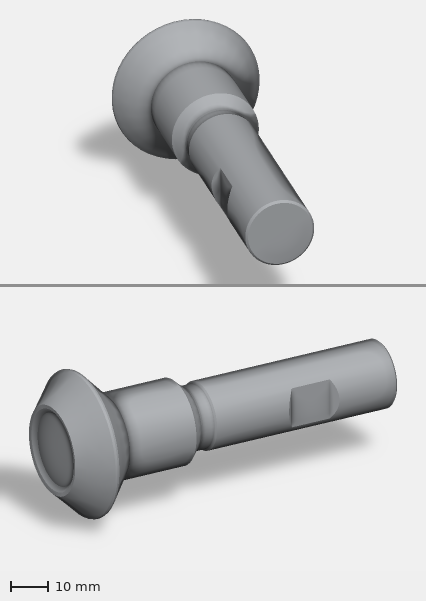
import cadquery as cq

total_length = 101.8

rim_radius = 20.8
rim_drop = 0.2
rim_center = 8.7
rim_half_width = 0.6
front_face_radius = 12.7
head_length = 2 * rim_center

bore_radius = 11.6
mouth_depth = 0.2

recess_floor_radius = 10.3
recess_depth = 1.1

collar_radius = 12.2
collar_end = 38.4
collar_edge_size = 0.5
neck_radius = 9.1
neck_start = 41.8
neck_end = 45.1
taper_end_radius = 9.3
taper_end = 41.1
stem_radius = 9.7
stem_chamfer = 0.6

flat_start = 70.0
flat_end = 81.7
flat_distance = 7.7


def make_head():
    """Revolve the double-cone ring that sits around the shank."""
    flank_start = rim_center - rim_half_width
    flank_end = rim_center + rim_half_width
    flank_radius = rim_radius - rim_drop
    profile = (
        cq.Workplane("XY")
        .moveTo(mouth_depth, bore_radius)
        .lineTo(0, front_face_radius)
        .lineTo(flank_start, flank_radius)
        .lineTo(rim_center, rim_radius)
        .lineTo(flank_end, flank_radius)
        .lineTo(head_length, collar_radius)
        .lineTo(head_length, bore_radius)
        .close()
    )
    return profile.revolve(360, (0, 0, 0), (1, 0, 0))


def make_clamping_flat():
    """Trapezoidal cutter that leaves a flat with sloping ends."""
    ramp = stem_radius - flat_distance
    return (
        cq.Workplane("XY")
        .polyline([
            (flat_start, -flat_distance),
            (flat_end, -flat_distance),
            (flat_end + ramp, -stem_radius),
            (flat_start - ramp, -stem_radius),
        ])
        .close()
        .extrude(stem_radius, both=True)
    )


def make_shank():
    """Revolve the recessed core, collar, neck and stem, then cut the clamping flat."""
    profile = (
        cq.Workplane("XY")
        .moveTo(mouth_depth + recess_depth, 0)
        .lineTo(mouth_depth + recess_depth, recess_floor_radius)
        .lineTo(mouth_depth, bore_radius)
        .lineTo(head_length, bore_radius)
        .lineTo(head_length, collar_radius)
        .lineTo(collar_end - collar_edge_size, collar_radius)
        .lineTo(collar_end, collar_radius - collar_edge_size)
        .lineTo(taper_end, taper_end_radius)
        .lineTo(neck_start, neck_radius)
        .lineTo(neck_end, neck_radius)
        .lineTo(neck_end + stem_chamfer, stem_radius)
        .lineTo(total_length - stem_chamfer, stem_radius)
        .lineTo(total_length, stem_radius - stem_chamfer)
        .lineTo(total_length, 0)
        .close()
    )
    return profile.revolve(360, (0, 0, 0), (1, 0, 0)).cut(make_clamping_flat())


head = make_head()
shank = make_shank()

result = cq.Compound.makeCompound([head.val(), shank.val()])